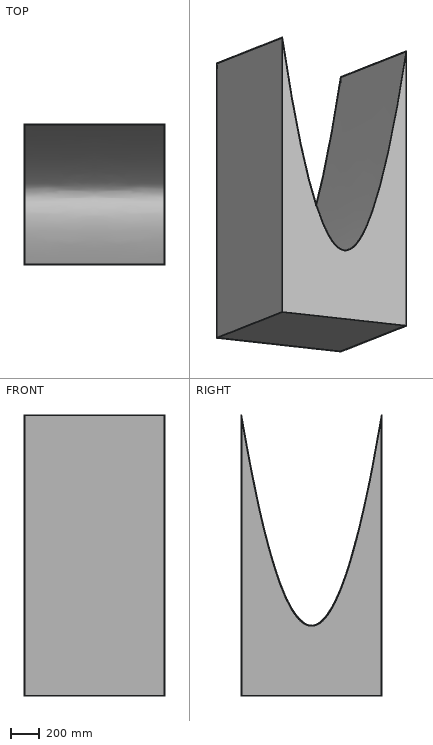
import cadquery as cq

height = 2000.0
width = 1000.0
depth = 1000.0
floor_thickness = 500.0

half_depth = depth / 2
trough_depth = height - floor_thickness

control_z = floor_thickness - trough_depth

profile = (
    cq.Workplane("YZ", origin=(-width / 2, 0, 0))
    .moveTo(-half_depth, 0)
    .lineTo(half_depth, 0)
    .lineTo(half_depth, height)
    .bezier([(half_depth, height), (0, control_z), (-half_depth, height)])
    .close()
)

result = profile.extrude(width)